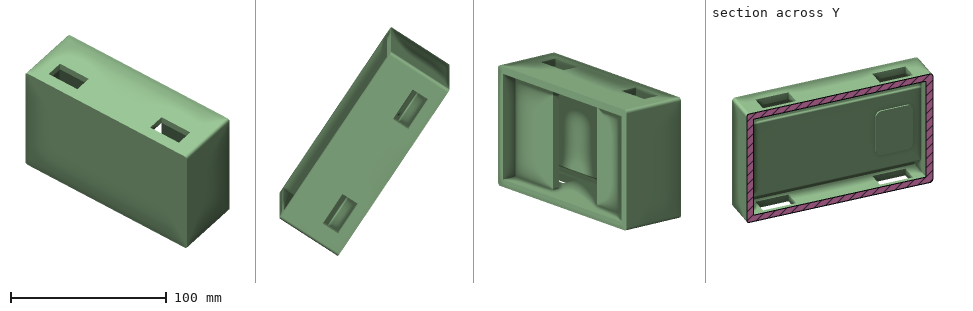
import cadquery as cq

length = 131.0
depth = 45.0
height = 81.0
corner_radius = 2.1
wall = 5.0

slot_length = 23.2
slot_width = 12.0
slot_end_margin = 12.8
slot_front = 8.0

platform_back = 15.0
platform_gap = 7.9
platform_edge_radius = 1.0

pad_start = 11.0
pad_length = 26.0
pad_height = 32.8
pad_corner_radius = 3.9
pad_back = 16.0

panel_front = 29.5
panel_inner_end = 43.1
panel_thickness = wall

inner_length = length - 2 * wall
inner_height = height - 2 * wall
slot_starts = (slot_end_margin, length - slot_end_margin - slot_length)


def block(x, y, z, size_x, size_y, size_z):
    """Box given by its lowest corner and its size."""
    return cq.Workplane("XY").box(size_x, size_y, size_z, centered=False).translate((x, y, z))


def make_case():
    """Rounded case, open at the back."""
    body = block(0, 0, 0, length, depth, height).edges("|Y").fillet(corner_radius)
    cavity = block(wall, wall, wall, inner_length, depth - wall, inner_height)
    return body.cut(cavity)


def make_platform():
    """Raised platform across the front wall, with rounded upper and lower edges."""
    platform = block(
        wall, wall, wall + platform_gap,
        inner_length, platform_back - wall, inner_height - 2 * platform_gap,
    )
    return platform.edges("|X and >Y").fillet(platform_edge_radius)


def make_pad():
    """Pad with rounded corners, standing out below the left slot."""
    pad = block(
        pad_start, wall, (height - pad_height) / 2,
        pad_length, pad_back - wall, pad_height,
    )
    return pad.edges("|Y").fillet(pad_corner_radius)


def make_panel(start):
    """Upright panel inside the cavity, parallel to the front wall."""
    return block(start, panel_front, wall, panel_inner_end - wall, panel_thickness, inner_height)


result = make_case().union(make_platform()).union(make_pad())

for panel_start in (wall, length - panel_inner_end):
    result = result.union(make_panel(panel_start))

for slot_start in slot_starts:
    for slot_bottom in (0, height - wall):
        result = result.cut(block(slot_start, slot_front, slot_bottom, slot_length, slot_width, wall))